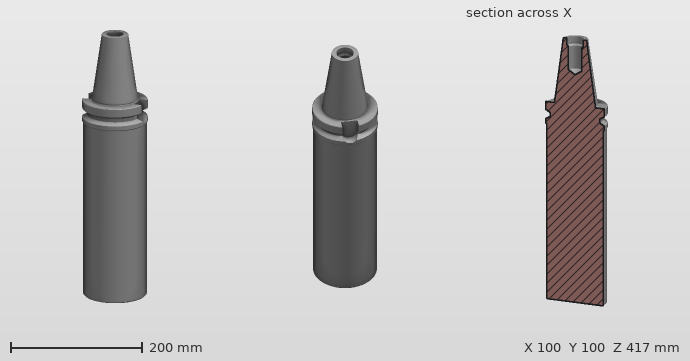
import cadquery as cq
import math

total_length = 417.0

taper_length = 101.5
taper_base_radius = 35.0
taper_slope = 7 / 24 / 2
taper_tip_radius = taper_base_radius - taper_length * taper_slope
neck_length = 3.0
neck_radius = 34.5
neck_root_chamfer = 1.3

flange_radius = 50.0
groove_radius = 42.5
upper_rim_height = 13.0
groove_floor_height = 6.0
groove_flank_angle = 30
groove_flank_height = (flange_radius - groove_radius) * math.tan(math.radians(groove_flank_angle))
lower_rim_height = 6.5
rim_chamfer = 1.3
top_edge_chamfer = 1.0

body_radius = 48.8
body_chamfer = 1.5

slot_width = 26.0
slot_depth = 31.3
slot_floor_x = 35.5
slot_overshoot = 4.0

bore_radius = 11.0
bore_depth = 50.0
drill_half_angle = 59
mouth_radius = 13.5
mouth_depth = 11.3
mouth_step_height = mouth_radius - bore_radius
drill_tip_height = bore_radius / math.tan(math.radians(drill_half_angle))

taper_base_z = total_length - taper_length
flange_top_z = taper_base_z - neck_length
groove_top_z = flange_top_z - upper_rim_height
groove_floor_top_z = groove_top_z - groove_flank_height
groove_floor_bottom_z = groove_floor_top_z - groove_floor_height
groove_bottom_z = groove_floor_bottom_z - groove_flank_height
rim_bottom_z = groove_bottom_z - lower_rim_height


def revolve_profile(points):
    """Revolve a closed (radius, height) outline about the Z axis."""
    return cq.Workplane("XZ").polyline(points).close().revolve(360, (0, 0), (0, 1))


def holder_blank():
    return revolve_profile([
        (0, 0),
        (body_radius - body_chamfer, 0),
        (body_radius, body_chamfer),
        (body_radius, rim_bottom_z - rim_chamfer),
        (flange_radius, rim_bottom_z),
        (flange_radius, groove_bottom_z),
        (groove_radius, groove_floor_bottom_z),
        (groove_radius, groove_floor_top_z),
        (flange_radius, groove_top_z),
        (flange_radius, flange_top_z - top_edge_chamfer),
        (flange_radius - top_edge_chamfer, flange_top_z),
        (neck_radius + neck_root_chamfer, flange_top_z),
        (neck_radius, flange_top_z + neck_root_chamfer),
        (neck_radius, taper_base_z),
        (taper_base_radius, taper_base_z),
        (taper_tip_radius, total_length),
        (0, total_length),
    ])


def tip_bore():
    bore_end_z = total_length - bore_depth
    step_z = total_length - mouth_depth
    return revolve_profile([
        (0, total_length),
        (mouth_radius, total_length),
        (mouth_radius, step_z),
        (bore_radius, step_z - mouth_step_height),
        (bore_radius, bore_end_z),
        (0, bore_end_z - drill_tip_height),
    ])


def drive_slot(side):
    """Round-bottomed slot, open at the flange top, on the +X or -X side."""
    slot_radius = slot_width / 2
    arc_center_z = flange_top_z - slot_depth + slot_radius
    cut_length = flange_radius - slot_floor_x + slot_overshoot
    return (
        cq.Workplane("YZ", origin=(side * slot_floor_x, 0, 0))
        .moveTo(-slot_radius, flange_top_z)
        .lineTo(-slot_radius, arc_center_z)
        .threePointArc((0, flange_top_z - slot_depth), (slot_radius, arc_center_z))
        .lineTo(slot_radius, flange_top_z)
        .close()
        .extrude(side * cut_length)
    )


result = holder_blank().cut(tip_bore())
for side in (-1, 1):
    result = result.cut(drive_slot(side))